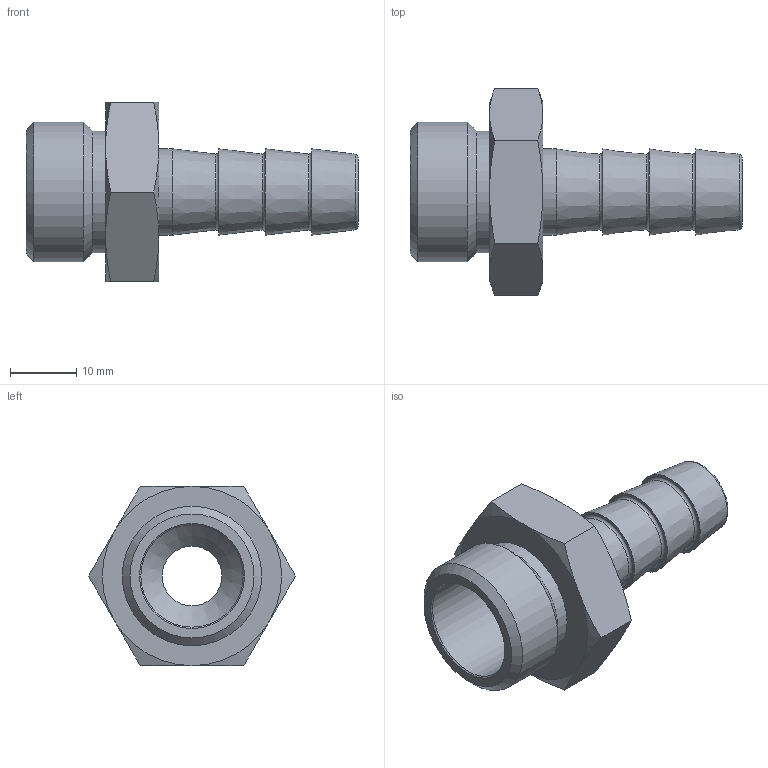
import cadquery as cq
import math

overall_length = 50.0

thread_radius = 10.5
thread_chamfer = 1.17
thread_end_x = 8.65
relief_radius = 9.15
relief_start_x = thread_end_x + (thread_radius - relief_radius)

hex_start_x = 12.0
hex_end_x = 20.0
hex_across_flats = 27.0
hex_across_corners = hex_across_flats / math.cos(math.radians(30))
hex_chamfer_angle = 20.0

barb_count = 4
barb_pitch = 7.0
barb_radius = 6.5
barb_root_radius = 5.65
barb_fillet = 0.4
tip_fillet = 0.5
barbs_start_x = overall_length - barb_count * barb_pitch

large_bore_radius = 7.7
large_bore_chamfer = 0.2
large_bore_depth = 15.0
small_bore_radius = 4.5
bore_cone_angle = 45.0


def revolve_about_x(profile):
    return profile.revolve(360, (0, 0), (1, 0))


def turned_solid(outline):
    """Solid of revolution about X from a closed outline of (x, radius) points."""
    return revolve_about_x(cq.Workplane("XZ").polyline(outline).close())


def make_threaded_end():
    """Thread envelope with a chamfered mouth and a relief groove before the hexagon."""
    outline = [
        (0, 0),
        (0, thread_radius - thread_chamfer),
        (thread_chamfer, thread_radius),
        (thread_end_x, thread_radius),
        (relief_start_x, relief_radius),
        (hex_start_x, relief_radius),
        (hex_start_x, 0),
    ]
    return turned_solid(outline)


def make_hexagon():
    """Hexagon with corners on the Y axis, both faces chamfered down to the flats."""
    prism = (
        cq.Workplane("YZ", origin=(hex_start_x, 0, 0))
        .polygon(6, hex_across_corners)
        .extrude(hex_end_x - hex_start_x)
    )
    face_radius = hex_across_flats / 2
    corner_radius = hex_across_corners / 2
    chamfer_depth = (corner_radius - face_radius) * math.tan(math.radians(hex_chamfer_angle))
    outline = [
        (hex_start_x, 0),
        (hex_start_x, face_radius),
        (hex_start_x + chamfer_depth, corner_radius),
        (hex_end_x - chamfer_depth, corner_radius),
        (hex_end_x, face_radius),
        (hex_end_x, 0),
    ]
    envelope = turned_solid(outline)
    return prism.intersect(envelope)


def barb_root_fillet(wall_x):
    """Arc joining a barb's cone to the next barb's wall: start, middle and end points."""
    taper = math.atan2(barb_radius - barb_root_radius, barb_pitch)
    centre_x = wall_x - barb_fillet
    cone_radius = barb_root_radius + barb_fillet * math.tan(taper)
    centre_radius = cone_radius + barb_fillet / math.cos(taper)
    start_angle = -math.pi / 2 - taper
    return [
        (centre_x + barb_fillet * math.cos(angle), centre_radius + barb_fillet * math.sin(angle))
        for angle in (start_angle, start_angle / 2, 0)
    ]


def make_hose_tail():
    """Plain collar followed by barbs that taper toward the tip, with a rounded tip edge."""
    profile = (
        cq.Workplane("XZ")
        .moveTo(hex_end_x, 0)
        .lineTo(hex_end_x, barb_radius)
        .lineTo(barbs_start_x, barb_radius)
    )
    for barb in range(1, barb_count):
        wall_x = barbs_start_x + barb * barb_pitch
        arc_start, arc_middle, arc_end = barb_root_fillet(wall_x)
        profile = (
            profile.lineTo(*arc_start)
            .threePointArc(arc_middle, arc_end)
            .lineTo(wall_x, barb_radius)
        )
    profile = profile.lineTo(overall_length, barb_root_radius).lineTo(overall_length, 0).close()
    tail = revolve_about_x(profile)
    return tail.faces(">X").edges().fillet(tip_fillet)


def make_bore():
    """Large bore with a chamfered mouth and conical bottom, and the small through bore."""
    cone_length = (large_bore_radius - small_bore_radius) / math.tan(math.radians(bore_cone_angle))
    outline = [
        (0, 0),
        (0, large_bore_radius + large_bore_chamfer),
        (large_bore_chamfer, large_bore_radius),
        (large_bore_depth, large_bore_radius),
        (large_bore_depth + cone_length, small_bore_radius),
        (overall_length, small_bore_radius),
        (overall_length, 0),
    ]
    return turned_solid(outline)


result = make_threaded_end().union(make_hexagon()).union(make_hose_tail()).cut(make_bore())